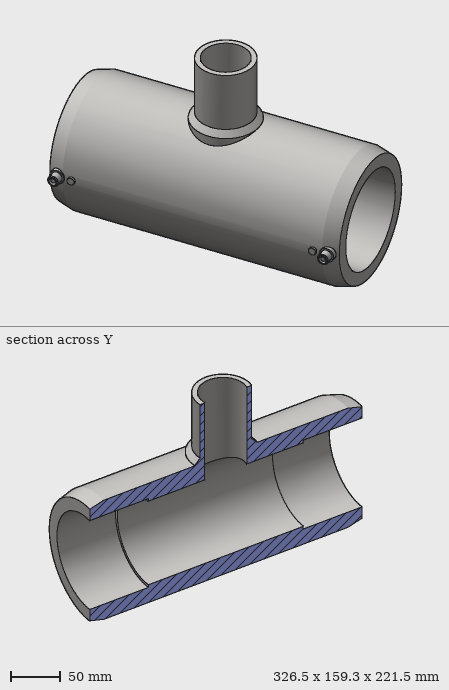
import cadquery as cq

sleeve_length = 326.5
sleeve_diameter = 148.5
end_diameter = 139.0
end_taper_length = 17.0
socket_diameter = 110.0
stop_diameter = 103.5
stop_length = 186.0

branch_diameter = 63.0
branch_bore = 51.3
overall_height = 221.5
branch_top = overall_height - sleeve_diameter / 2
collar_diameter = 75.7
collar_taper_height = 7.0

terminal_inset = 11.0
terminal_diameter = 12.0
overall_width = 159.3
terminal_tip = overall_width - sleeve_diameter / 2
terminal_chamfer = 1.0
terminal_bore = 8.0
terminal_bore_depth = 7.2
contact_diameter = 5.0
contact_recess = 1.3
boss_diameter = 16.0
boss_face = 75.7
indicator_inset = 27.0
indicator_diameter = 8.0
indicator_face = 76.7

sleeve_radius = sleeve_diameter / 2
half_length = sleeve_length / 2
fitting_root = (sleeve_radius + socket_diameter / 2) / 2


def side_cylinder(x, diameter, start, end):
    """Cylinder pointing to -Y, between two distances from the sleeve axis."""
    plane = cq.Plane(origin=(x, -start, 0), xDir=(1, 0, 0), normal=(0, -1, 0))
    return cq.Workplane(plane).circle(diameter / 2).extrude(end - start)


def make_sleeve():
    """Solid sleeve with tapered ends."""
    shoulder = half_length - end_taper_length
    profile = [
        (-half_length, 0),
        (-half_length, end_diameter / 2),
        (-shoulder, sleeve_radius),
        (shoulder, sleeve_radius),
        (half_length, end_diameter / 2),
        (half_length, 0),
    ]
    return cq.Workplane("XY").polyline(profile).close().revolve(360, (0, 0, 0), (1, 0, 0))


def make_branch():
    """Solid branch pipe with its tapered collar."""
    collar_top = sleeve_radius + collar_taper_height
    profile = [
        (0, 0),
        (collar_diameter / 2, 0),
        (collar_diameter / 2, sleeve_radius),
        (branch_diameter / 2, collar_top),
        (branch_diameter / 2, branch_top),
        (0, branch_top),
    ]
    return cq.Workplane("XZ").polyline(profile).close().revolve(360, (0, 0, 0), (0, 1, 0))


def make_terminal(x):
    """Boss and hollow terminal with a contact pin inside."""
    boss = side_cylinder(x, boss_diameter, fitting_root, boss_face)
    terminal = side_cylinder(x, terminal_diameter, fitting_root, terminal_tip)
    terminal = terminal.faces("<Y").chamfer(terminal_chamfer)
    bore_floor = terminal_tip - terminal_bore_depth
    bore = side_cylinder(x, terminal_bore, bore_floor, terminal_tip)
    contact = side_cylinder(x, contact_diameter, fitting_root, terminal_tip - contact_recess)
    return boss.union(terminal).cut(bore).union(contact)


body = make_sleeve().union(make_branch())

body = body.cut(cq.Workplane("YZ").circle(stop_diameter / 2).extrude(half_length, both=True))
socket_depth = half_length - stop_length / 2
for face_x, direction in ((-half_length, 1), (half_length, -1)):
    socket = cq.Workplane("YZ", origin=(face_x, 0, 0)).circle(socket_diameter / 2)
    body = body.cut(socket.extrude(direction * socket_depth))

body = body.cut(cq.Workplane("XY").circle(branch_bore / 2).extrude(branch_top))

for side in (-1, 1):
    body = body.union(make_terminal(side * (half_length - terminal_inset)))
    indicator_x = side * (half_length - indicator_inset)
    body = body.union(side_cylinder(indicator_x, indicator_diameter, fitting_root, indicator_face))

result = body